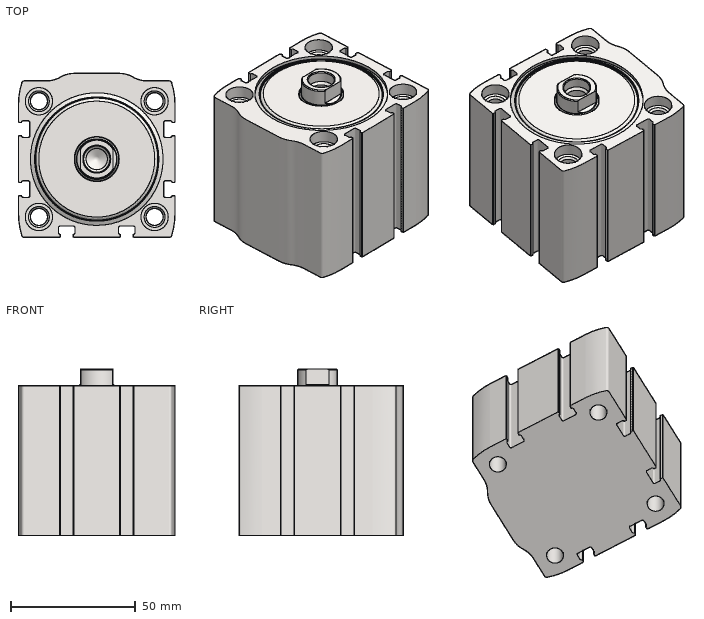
import cadquery as cq
import math

total_height = 67.0
body_height = 60.3
body_half = 31.5
crown_y = 34.5

side_flat_half = 22.1
corner_x = 29.9
corner_radius = 1.15
crown_flat_half = 9.05
crown_foot_x = 20.1

slot_offset = 12.05
slot_neck_width = 5.15
slot_inner_width = 6.55
slot_lip = 1.3
slot_depth = 4.55
slot_inner_radius = 0.6
slot_mouth_radius = 0.3

bolt_offset = 23.25
bolt_diameter = 6.8
bolt_countersink_diameter = 8.4
bolt_counterbore_diameter = 11.0
bolt_counterbore_depth = 5.0

groove_diameter = 53.3
groove_depth = 1.35
lip_diameter = 50.0
lip_slope = 30.0
seam_outer_radius = 24.8
seam_inner_radius = 24.5
seam_depth = 1.0
cap_shoulder_radius = 23.9
cap_shoulder_drop = 0.5
cap_radius = 23.3
cap_drop = 0.2

rod_diameter = 16.0
rod_floor = 6.7
rod_chamfer = 0.4
rod_flats = 13.0
flat_runout = 0.5
runout_slope = 30.0
seal_groove_diameter = 18.1
seal_groove_depth = 1.0
seal_foot_radius = 8.85
seal_tip_radius = 8.2
seal_tip_drop = 0.35

recess_diameter = 10.5
recess_rim_diameter = 11.25
recess_depth = 4.55
rod_hole_diameter = 8.6
rod_hole_depth = 12.05
drill_point_angle = 118.0


def revolved(points):
    """Solid of revolution about Z from (radius, z) points."""
    return cq.Workplane("XZ").polyline(points).close().revolve(360, (0, 0), (0, 1))


def body_outline():
    """Nearly square extrusion with bowed corners and a crown on the +Y face."""
    bow_dx = body_half - corner_x
    bow_dy = body_half - side_flat_half
    bow_radius = (bow_dx**2 + bow_dy**2) / (2 * bow_dx)
    half_angle = math.asin(bow_dy / bow_radius) / 2
    bow_mid_x = body_half - bow_radius * (1 - math.cos(half_angle))
    bow_mid_y = side_flat_half + bow_radius * math.sin(half_angle)
    mid_x = (crown_flat_half + crown_foot_x) / 2
    mid_y = (body_half + crown_y) / 2
    corner_edges = cq.selectors.BoxSelector(
        (corner_x - corner_radius, -crown_y, 0), (corner_x + corner_radius, crown_y, body_height)
    )
    half = (
        cq.Workplane("XY")
        .moveTo(0, -body_half)
        .lineTo(corner_x, -body_half)
        .threePointArc((bow_mid_x, -bow_mid_y), (body_half, -side_flat_half))
        .lineTo(body_half, side_flat_half)
        .threePointArc((bow_mid_x, bow_mid_y), (corner_x, body_half))
        .lineTo(crown_foot_x, body_half)
        .tangentArcPoint((mid_x, mid_y), relative=False)
        .tangentArcPoint((crown_flat_half, crown_y), relative=False)
        .lineTo(0, crown_y)
        .close()
        .extrude(body_height)
        .edges("|Z")
        .edges(corner_edges)
        .fillet(corner_radius)
    )
    return half.union(half.mirror("YZ"))


def slot_cutter():
    """T-slot in the -Y face, centred on X = 0."""
    neck_half = slot_neck_width / 2
    mouth_half = neck_half + slot_mouth_radius
    neck = (
        cq.Workplane("XY")
        .moveTo(-mouth_half, 0)
        .radiusArc((-neck_half, slot_mouth_radius), slot_mouth_radius)
        .lineTo(-neck_half, slot_depth)
        .lineTo(neck_half, slot_depth)
        .lineTo(neck_half, slot_mouth_radius)
        .radiusArc((mouth_half, 0), slot_mouth_radius)
        .close()
        .extrude(body_height)
    )
    inner = (
        cq.Workplane("XY")
        .box(slot_inner_width, slot_depth - slot_lip, body_height, centered=(True, False, False))
        .edges("|Z")
        .fillet(slot_inner_radius)
        .translate((0, slot_lip, 0))
    )
    return neck.union(inner).translate((0, -body_half, 0))


def cut_slots(body):
    """Two T-slots in each of the -Y, +X and -X faces."""
    for face_angle in (-90, 0, 90):
        for offset in (-slot_offset, slot_offset):
            cutter = slot_cutter().translate((offset, 0, 0))
            body = body.cut(cutter.rotate((0, 0, 0), (0, 0, 1), face_angle))
    return body


def bolt_cutter():
    """Counterbored through hole with a 45 degree countersink below the counterbore."""
    hole_radius = bolt_diameter / 2
    sink_radius = bolt_countersink_diameter / 2
    bore_radius = bolt_counterbore_diameter / 2
    floor_z = body_height - bolt_counterbore_depth
    return revolved([
        (0, 0),
        (hole_radius, 0),
        (hole_radius, floor_z - (sink_radius - hole_radius)),
        (sink_radius, floor_z),
        (bore_radius, floor_z),
        (bore_radius, body_height),
        (0, body_height),
    ])


def ring_groove_cutter():
    """Space above the slightly sunken end cap and the groove around it."""
    outer = groove_diameter / 2
    lip = lip_diameter / 2
    top = body_height
    slope = math.tan(math.radians(lip_slope))
    lip_z = top - groove_depth + (outer - lip) * slope
    lip_inner_z = lip_z - (lip - seam_outer_radius) * slope
    return revolved([
        (0, top),
        (outer, top),
        (outer, top - groove_depth),
        (lip, lip_z),
        (seam_outer_radius, lip_inner_z),
        (seam_outer_radius, top - seam_depth),
        (seam_inner_radius, top - seam_depth),
        (cap_shoulder_radius, top - cap_shoulder_drop),
        (cap_radius, top - cap_drop),
        (0, top - cap_drop),
    ])


def rod_bore_cutter():
    """Blind rod bore with a conical seal lip standing in a groove at its mouth."""
    rod = rod_diameter / 2
    groove = seal_groove_diameter / 2
    groove_z = body_height - seal_groove_depth
    return revolved([
        (0, rod_floor),
        (rod, rod_floor),
        (rod, body_height - seal_tip_drop),
        (seal_tip_radius, body_height - seal_tip_drop),
        (seal_foot_radius, groove_z),
        (groove, groove_z),
        (groove, body_height),
        (0, body_height),
    ])


def make_housing():
    body = cut_slots(body_outline())
    for x in (-bolt_offset, bolt_offset):
        for y in (-bolt_offset, bolt_offset):
            body = body.cut(bolt_cutter().translate((x, y, 0)))
    return body.cut(ring_groove_cutter()).cut(rod_bore_cutter())


def rod_flat_cutter():
    """Material outside the +X flat, ending in a sloping run-out."""
    flat = rod_flats / 2
    start_z = body_height + flat_runout
    end_z = start_z - (rod_diameter - flat) * math.tan(math.radians(runout_slope))
    return (
        cq.Workplane("XZ")
        .moveTo(flat, total_height)
        .lineTo(flat, start_z)
        .lineTo(rod_diameter, end_z)
        .lineTo(rod_diameter, total_height)
        .close()
        .extrude(rod_diameter / 2, both=True)
    )


def rod_hole_cutter():
    """Threaded hole with a chamfered recess at its mouth and a drill point."""
    hole = rod_hole_diameter / 2
    recess = recess_diameter / 2
    rim = recess_rim_diameter / 2
    recess_z = total_height - recess_depth
    hole_z = total_height - rod_hole_depth
    point_length = hole / math.tan(math.radians(drill_point_angle / 2))
    return revolved([
        (0, hole_z - point_length),
        (hole, hole_z),
        (hole, recess_z - (recess - hole)),
        (recess, recess_z),
        (recess, total_height - (rim - recess)),
        (rim, total_height),
        (0, total_height),
    ])


def make_rod():
    rod = (
        cq.Workplane("XY", origin=(0, 0, rod_floor))
        .circle(rod_diameter / 2)
        .extrude(total_height - rod_floor)
        .faces(">Z")
        .chamfer(rod_chamfer)
    )
    flat = rod_flat_cutter()
    return rod.cut(flat).cut(flat.mirror("YZ")).cut(rod_hole_cutter())


housing = make_housing()
rod = make_rod()
result = cq.Compound.makeCompound([housing.val(), rod.val()])